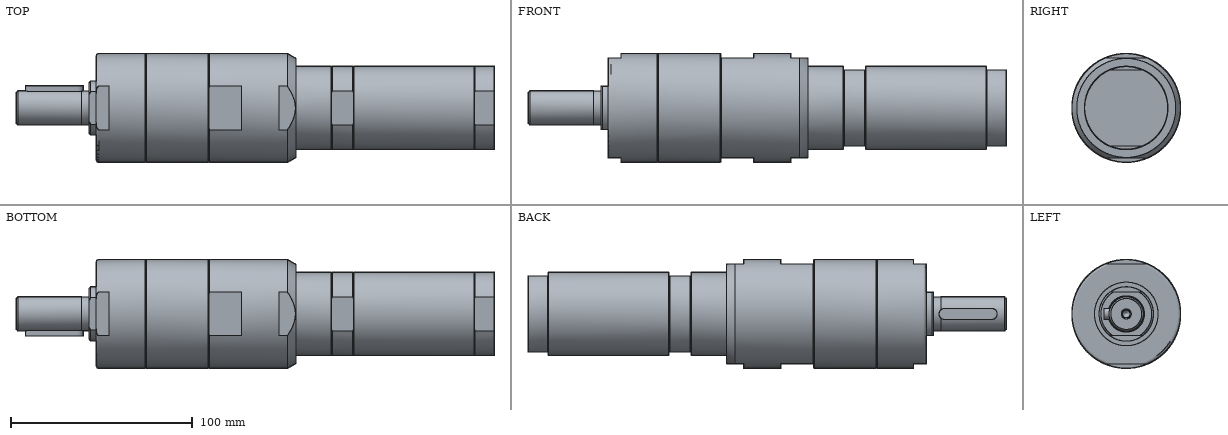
import cadquery as cq

STEP_X = 36.0
BOSS_X = 40.0
BODY_X = 44.0
FRONT_LAND_END_X = 51.0
JOINT_X = 71.3
WAIST_X = 106.0
WAIST_END_X = 124.0
REAR_LAND_X = 144.5
TAPER_X = 149.2
BODY_END_X = 154.0
NECK_X = 173.5
NECK_END_X = 185.5
TAIL_X = 252.1
END_X = 263.0

SHAFT_D = 19.0
SHAFT_ROOT_D = 18.8
BOSS_D = 29.95
BODY_D = 60.0
TAPER_END_D = 54.5
TAIL_D = 46.0

BOSS_FLATS = 24.0
BODY_FLATS = 55.0
TAIL_FLATS = 42.0

SHAFT_CHAMFER = 1.0
BOSS_CHAMFER = 1.0
BODY_EDGE_RADIUS = 1.5

GROOVE_WIDTH = 0.8
GROOVE_DEPTH = 0.3

SEAT_D = 20.0
SEAT_DEPTH = 0.5

RECESS_D = 35.0
RECESS_DEPTH = 2.0

KEY_X = 5.0
KEY_LENGTH = 32.0
KEY_WIDTH = 6.0
KEY_TOP_Y = 12.25
KEY_SEAT_Y = 6.0

HOLE_D = 4.13
HOLE_MOUTH_D = 5.5
HOLE_DEPTH = 12.0


def cylinder(start, end, diameter):
    """Round bar along X from start to end."""
    return cq.Workplane("YZ", origin=(start, 0, 0)).circle(diameter / 2).extrude(end - start)


def make_shaft():
    """Chamfered shaft with a slightly slimmer root that runs into the boss seat."""
    root = cylinder(STEP_X, BOSS_X + SEAT_DEPTH, SHAFT_ROOT_D)
    return cylinder(0, STEP_X, SHAFT_D).faces("<X").chamfer(SHAFT_CHAMFER).union(root)


def make_boss():
    """Chamfered collar that reaches down to the floor of the ring recess."""
    blank = cylinder(BOSS_X, BODY_X + RECESS_DEPTH, BOSS_D).faces("<X").chamfer(BOSS_CHAMFER)
    return blank.cut(cylinder(BOSS_X, BOSS_X + SEAT_DEPTH, SEAT_D))


def make_housing():
    """Turned housing: body with a tapered rear shoulder, and the slimmer tail."""
    body_radius = BODY_D / 2
    tail_radius = TAIL_D / 2
    outline = (
        cq.Workplane("XY")
        .moveTo(BODY_X, 0)
        .lineTo(BODY_X, body_radius - BODY_EDGE_RADIUS)
        .radiusArc((BODY_X + BODY_EDGE_RADIUS, body_radius), BODY_EDGE_RADIUS)
        .lineTo(TAPER_X, body_radius)
        .lineTo(BODY_END_X, TAPER_END_D / 2)
        .lineTo(BODY_END_X, tail_radius)
        .lineTo(END_X, tail_radius)
        .lineTo(END_X, 0)
        .close()
    )
    return outline.revolve(360, (0, 0, 0), (1, 0, 0))


def make_ring_recess():
    floor_x = BODY_X + RECESS_DEPTH
    return cylinder(BODY_X, floor_x, RECESS_D).cut(cylinder(BODY_X, floor_x, BOSS_D))


def make_joint_groove(x, diameter):
    """V-shaped ring that cuts a joint line into a cylinder at x."""
    radius = diameter / 2
    outline = [
        (x - GROOVE_WIDTH / 2, radius),
        (x, radius - GROOVE_DEPTH),
        (x + GROOVE_WIDTH / 2, radius),
    ]
    return cq.Workplane("XY").polyline(outline).close().revolve(360, (0, 0, 0), (1, 0, 0))


def cut_flats(part, start, end, across, diameter):
    """Part with two opposite flats, square to Z, milled between start and end."""
    depth = (diameter - across) / 2
    for side in (1, -1):
        middle = ((start + end) / 2, 0, side * (across + depth) / 2)
        part = part.cut(cq.Workplane("XY", origin=middle).box(end - start, diameter, depth))
    return part


def make_key():
    """Round-ended key, its lower part buried in the shaft."""
    middle = (KEY_X + KEY_LENGTH / 2, KEY_SEAT_Y, 0)
    plane = cq.Plane(origin=middle, xDir=(1, 0, 0), normal=(0, 1, 0))
    return cq.Workplane(plane).slot2D(KEY_LENGTH, KEY_WIDTH).extrude(KEY_TOP_Y - KEY_SEAT_Y)


def make_centre_hole():
    """Blind hole with a 45 degree mouth and a conical bottom."""
    mouth_depth = (HOLE_MOUTH_D - HOLE_D) / 2
    outline = [
        (0, 0),
        (0, HOLE_MOUTH_D / 2),
        (mouth_depth, HOLE_D / 2),
        (HOLE_DEPTH, HOLE_D / 2),
        (HOLE_DEPTH + HOLE_D / 2, 0),
    ]
    return cq.Workplane("XY").polyline(outline).close().revolve(360, (0, 0, 0), (1, 0, 0))


housing = make_housing().cut(make_ring_recess())
for groove_x, groove_d in (
    (JOINT_X, BODY_D),
    (WAIST_X, BODY_D),
    (NECK_X, TAIL_D),
    (NECK_END_X, TAIL_D),
    (TAIL_X, TAIL_D),
):
    housing = housing.cut(make_joint_groove(groove_x, groove_d))

for flat_start, flat_end, flat_across, flat_d in (
    (BODY_X, FRONT_LAND_END_X, BODY_FLATS, BODY_D),
    (WAIST_X, WAIST_END_X, BODY_FLATS, BODY_D),
    (REAR_LAND_X, BODY_END_X, BODY_FLATS, BODY_D),
    (NECK_X, NECK_END_X, TAIL_FLATS, TAIL_D),
    (TAIL_X, END_X, TAIL_FLATS, TAIL_D),
):
    housing = cut_flats(housing, flat_start, flat_end, flat_across, flat_d)

boss = cut_flats(make_boss(), BOSS_X, BODY_X, BOSS_FLATS, BOSS_D)
shaft = make_shaft().union(make_key()).cut(make_centre_hole())

result = housing.union(boss).union(shaft)